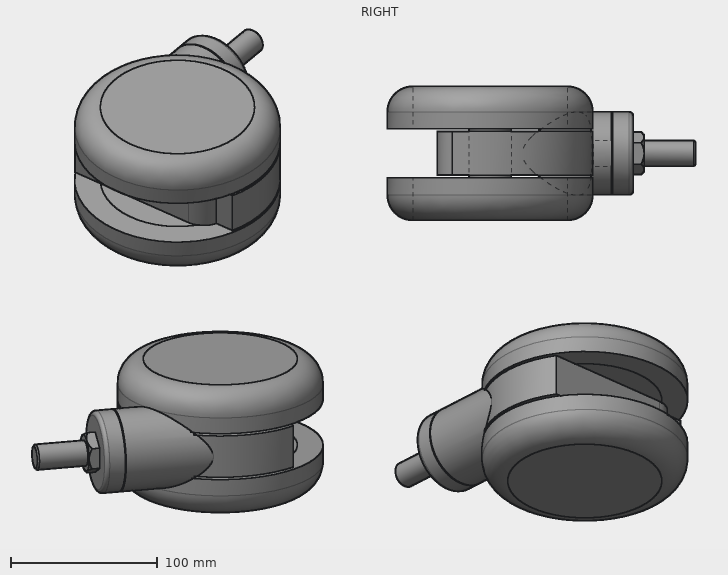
import cadquery as cq
import math


overall_width = 91.5
wheel_diameter = 140.5
wheel_radius = wheel_diameter / 2
core_radius = 52.6
wheel_inner_z = 16.6
wheel_width = overall_width / 2 - wheel_inner_z
shoulder_radius = wheel_radius - core_radius

axle_radius = 14.5

plate_half_height = 15.0
plate_front_y = -36.2
plate_step_y = -25.7
nose_start_x = 35.5
nose_end_x = 51.8
barrel_x = -38.3
barrel_radius = 28.5
barrel_top_y = 83.0
wheel_clearance = 0.2

stem_top_y = 210.5 - wheel_radius
shank_radius = 8.8
shank_chamfer = 1.3
collar_gap = 0.6
collar_bottom_y = barrel_top_y + collar_gap
collar_top_y = 97.7
collar_fillet = 3.0
hexagon_top_y = 105.0
hexagon_across_flats = 25.3
hexagon_corner_radius = hexagon_across_flats / math.sqrt(3)
hexagon_top_radius = hexagon_across_flats / 2
hexagon_bevel_slope = math.tan(math.radians(45))
spigot_depth = 12.6


def cylinder_along_y(radius, start_y, end_y):
    """Cylinder on the swivel axis between two Y positions."""
    plane = cq.Plane(origin=(barrel_x, start_y, 0), xDir=(1, 0, 0), normal=(0, 1, 0))
    return cq.Workplane(plane).circle(radius).extrude(end_y - start_y)


def on_side(body, side):
    """Keep a body on the +Z side, or mirror it to the -Z side."""
    return body if side > 0 else body.mirror("XY")


def make_core(side):
    """Plain disc that fills the middle of a tyre."""
    core = cq.Workplane("XY").workplane(offset=wheel_inner_z).circle(core_radius).extrude(wheel_width)
    return on_side(core, side)


def make_tyre(side):
    """Ring with a full round shoulder from its rim to the core."""
    shoulder_z = overall_width / 2 - shoulder_radius
    diagonal = shoulder_radius * math.sqrt(0.5)
    profile = (
        cq.Workplane("XZ")
        .moveTo(core_radius, wheel_inner_z)
        .lineTo(wheel_radius, wheel_inner_z)
        .lineTo(wheel_radius, shoulder_z)
        .threePointArc((core_radius + diagonal, shoulder_z + diagonal), (core_radius, overall_width / 2))
        .close()
    )
    tyre = profile.revolve(360, (0, 0, 0), (0, 1, 0))
    return on_side(tyre, side)


def make_axle():
    """Round axle reaching from one wheel core to the other."""
    return cq.Workplane("XY").circle(axle_radius).extrude(wheel_inner_z, both=True)


def make_plate():
    """Disc segment with a rounded nose and a step along its straight front."""
    front_x = -math.sqrt(wheel_radius**2 - plate_front_y**2)
    step_x = math.sqrt(wheel_radius**2 - plate_step_y**2)
    nose_length = nose_end_x - nose_start_x
    nose_drop = plate_step_y - plate_front_y
    nose_radius = (nose_length**2 + nose_drop**2) / (2 * nose_drop)
    half_angle = math.asin(nose_length / nose_radius) / 2
    nose_middle = (
        nose_start_x + nose_radius * math.sin(half_angle),
        plate_front_y + nose_radius * (1 - math.cos(half_angle)),
    )
    return (
        cq.Workplane("XY")
        .moveTo(front_x, plate_front_y)
        .lineTo(nose_start_x, plate_front_y)
        .threePointArc(nose_middle, (nose_end_x, plate_step_y))
        .lineTo(step_x, plate_step_y)
        .threePointArc((0, wheel_radius), (front_x, plate_front_y))
        .close()
        .extrude(plate_half_height, both=True)
    )


def make_housing():
    """Swivel barrel cut clear of the wheels, joined to the plate and bored."""
    barrel_start_y = math.sqrt(wheel_radius**2 - (barrel_radius - barrel_x) ** 2)
    barrel = cylinder_along_y(barrel_radius, barrel_start_y, barrel_top_y)
    wheel_space = cq.Workplane("XY").circle(wheel_radius + wheel_clearance).extrude(overall_width, both=True)
    plate_space = cq.Workplane("XY").rect(2 * overall_width, 2 * overall_width)
    plate_space = plate_space.extrude(plate_half_height, both=True)
    barrel = barrel.cut(wheel_space.cut(plate_space))
    axle_hole = make_axle()
    spigot_hole = cylinder_along_y(shank_radius, barrel_top_y - spigot_depth, barrel_top_y)
    return barrel.union(make_plate()).cut(axle_hole).cut(spigot_hole)


def make_hexagon():
    """Hexagon with corners on +Z and -Z, bevelled round its top edge."""
    plane = cq.Plane(origin=(barrel_x, collar_top_y, 0), xDir=(0, 0, 1), normal=(0, 1, 0))
    height = hexagon_top_y - collar_top_y
    hexagon = cq.Workplane(plane).polygon(6, 2 * hexagon_corner_radius).extrude(height)
    base_radius = hexagon_top_radius + height * hexagon_bevel_slope
    cone = cq.Solid.makeCone(
        base_radius, hexagon_top_radius, height, cq.Vector(barrel_x, collar_top_y, 0), cq.Vector(0, 1, 0)
    )
    return hexagon.intersect(cq.Workplane(obj=cone))


def make_stem():
    """Collar, hexagon and shank, with a spigot seated in the barrel."""
    collar = cylinder_along_y(barrel_radius, collar_bottom_y, collar_top_y)
    collar = collar.faces(">Y").edges().fillet(collar_fillet)
    shank = cylinder_along_y(shank_radius, barrel_top_y - spigot_depth, stem_top_y)
    shank = shank.faces(">Y").edges().chamfer(shank_chamfer)
    return collar.union(make_hexagon()).union(shank)


sides = (1, -1)
cores = [make_core(side) for side in sides]
tyres = [make_tyre(side) for side in sides]
axle = make_axle()
housing = make_housing()
stem = make_stem()

result = cq.Compound.makeCompound(
    [
        *[core.val() for core in cores],
        *[tyre.val() for tyre in tyres],
        axle.val(),
        housing.val(),
        stem.val(),
    ]
)